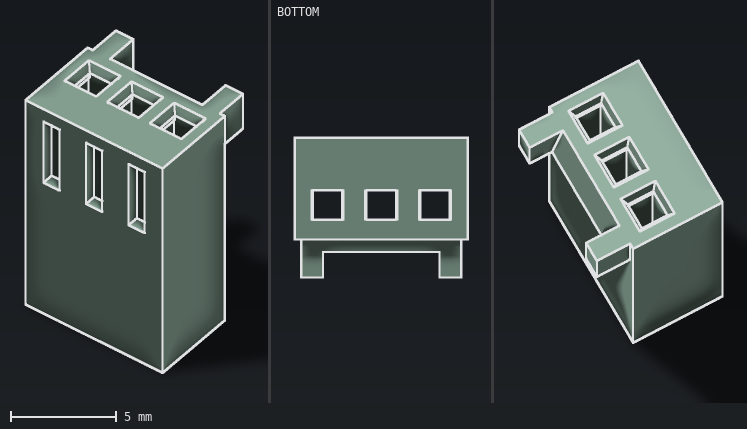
import cadquery as cq


width = 8.18
overall_depth = 6.63
height = 12.7
arm_reach = 1.8
body_depth = overall_depth - arm_reach

contact_count = 3
pitch = 2.54

arm_width = 1.04
arm_height = 2.16
arm_side_inset = 0.3
wedge_reach = 0.59

hole_center_y = 3.19
funnel_size = 1.88
funnel_depth = 0.5
throat_size = 1.38
throat_length = 0.25
bore_width = 1.52

slot_width = 0.96
slot_length = 3.79
slot_depth = 0.64
slot_top_gap = 0.78


def make_box(center_x, size_x, y_min, y_max, z_min, z_max):
    """Box centred on center_x, spanning the given Y and Z ranges."""
    return (
        cq.Workplane("XY")
        .box(size_x, y_max - y_min, z_max - z_min, centered=(True, False, False))
        .translate((center_x, y_min, z_min))
    )


def make_arm(side):
    """Latch arm flush with the top face; side is -1 or +1 along X."""
    center_x = side * (width / 2 - arm_side_inset - arm_width / 2)
    return make_box(center_x, arm_width, body_depth, overall_depth, height - arm_height, height)


def make_wedge():
    """Ramp between the arms, growing outward from the top edge downward."""
    length = width - 2 * (arm_side_inset + arm_width)
    wedge_bottom = height - arm_height
    return (
        cq.Workplane("YZ")
        .moveTo(body_depth, height)
        .lineTo(body_depth + wedge_reach, wedge_bottom)
        .lineTo(body_depth, wedge_bottom)
        .close()
        .extrude(length / 2, both=True)
    )


def make_contact_hole(center_x):
    """Cutter for one through hole: tapered entry, throat and bore."""
    funnel = (
        cq.Workplane("XY", origin=(center_x, hole_center_y, height))
        .rect(funnel_size, funnel_size)
        .workplane(offset=-funnel_depth)
        .rect(throat_size, throat_size)
        .loft(ruled=True)
    )
    y_min = hole_center_y - throat_size / 2
    y_max = hole_center_y + throat_size / 2
    throat_top = height - funnel_depth
    bore_top = throat_top - throat_length
    throat = make_box(center_x, throat_size, y_min, y_max, bore_top, throat_top)
    bore = make_box(center_x, bore_width, y_min, y_max, 0, bore_top)
    return funnel.union(throat).union(bore)


def make_front_slot(center_x):
    """Cutter for one blind slot in the front face."""
    slot_top = height - slot_top_gap
    return make_box(center_x, slot_width, 0, slot_depth, slot_top - slot_length, slot_top)


result = make_box(0, width, 0, body_depth, 0, height)

for side in (-1, 1):
    result = result.union(make_arm(side))
result = result.union(make_wedge())

for index in range(contact_count):
    contact_x = (index - (contact_count - 1) / 2) * pitch
    result = result.cut(make_contact_hole(contact_x))
    result = result.cut(make_front_slot(contact_x))